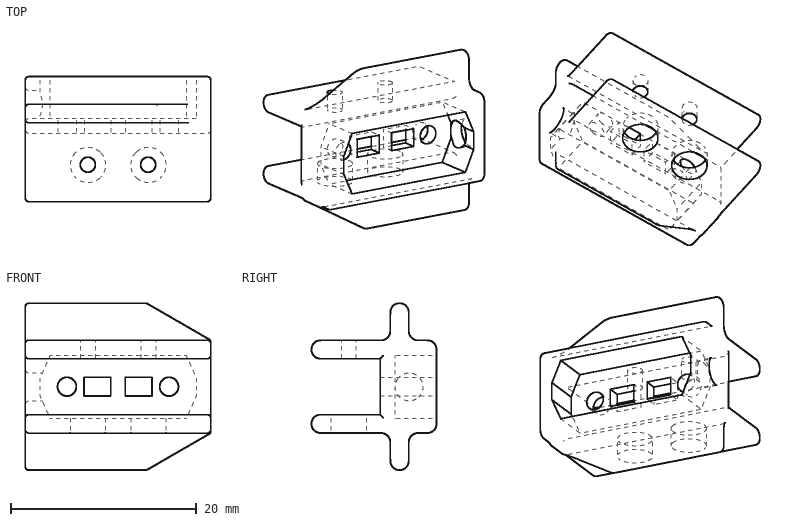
import cadquery as cq
import math

length = 20.0
total_depth = 13.5
body_depth = 6.1
body_height = 10.0
total_height = 18.0
thickness = 2.0
fin_setback = 3.0
edge_radius = 0.4
taper_angle = 30.0

pocket_wall = 1.6
pocket_end_height = 2.0
pocket_end_lean = 24.0

bore_diameter = 3.0
bore_setback = 3.0

pin_diameter = 2.0
pin_offset = 5.5
window_length = 2.85
window_height = 2.0
window_offset = 2.22

screw_offset = 3.25
screw_setback = 4.0
screw_diameter = 1.6
screw_access_diameter = 3.8

half_length = length / 2
half_body = body_height / 2
half_height = total_height / 2
half_slot = half_body - thickness
back = total_depth / 2
front = -back
slot_wall = back - body_depth
fin_back = back - fin_setback
fin_front = fin_back - thickness
fin_middle = (fin_back + fin_front) / 2
round_radius = thickness / 2
taper_slope = math.tan(math.radians(taper_angle))


def make_body():
    """Block with two arms and two fins, as one profile along X."""
    r = round_radius
    bulge = r * math.sqrt(0.5)
    root = half_body + r
    upper_half = (
        cq.Workplane("YZ", origin=(-half_length, 0, 0))
        .moveTo(back, 0)
        .lineTo(back, half_body - r)
        .threePointArc((back - r + bulge, half_body - r + bulge), (back - r, half_body))
        .lineTo(fin_back + r, half_body)
        .threePointArc((fin_back + r - bulge, root - bulge), (fin_back, root))
        .lineTo(fin_back, half_height - r)
        .threePointArc((fin_middle, half_height), (fin_front, half_height - r))
        .lineTo(fin_front, root)
        .threePointArc((fin_front - r + bulge, root - bulge), (fin_front - r, half_body))
        .lineTo(front + r, half_body)
        .threePointArc((front, half_body - r), (front + r, half_slot))
        .lineTo(slot_wall, half_slot)
        .lineTo(slot_wall, 0)
        .close()
        .extrude(length)
    )
    return upper_half.union(upper_half.mirror("XY")).clean()


def taper_fins(part):
    """Slope both fins down to the block at the +X end and round the sloped edges."""
    margin = 1.0
    reach = (half_height - half_body) / taper_slope + margin
    low = half_body - margin * taper_slope
    high = half_body + reach * taper_slope
    for side in (1, -1):
        wedge = (
            cq.Workplane("XZ", origin=(0, back, 0))
            .moveTo(half_length + margin, side * low)
            .lineTo(half_length - reach, side * high)
            .lineTo(half_length + margin, side * high)
            .close()
            .extrude(total_depth)
        )
        part = part.cut(wedge)

    normal_x = math.sin(math.radians(taper_angle))
    tolerance = 0.01
    slopes = [
        face
        for face in part.faces("%PLANE").vals()
        if abs(face.normalAt().x - normal_x) < tolerance
    ]
    return part.newObject(slopes).edges().fillet(edge_radius)


def cut_pocket(part):
    """Pocket open at the back, narrowing above and below the middle of its ends."""
    end_x = half_length - pocket_wall
    end_z = pocket_end_height / 2
    top_z = half_body - pocket_wall
    top_x = end_x - (top_z - end_z) * math.tan(math.radians(pocket_end_lean))
    pocket = (
        cq.Workplane("XZ", origin=(0, back, 0))
        .moveTo(end_x, -end_z)
        .lineTo(end_x, end_z)
        .lineTo(top_x, top_z)
        .lineTo(-top_x, top_z)
        .lineTo(-end_x, end_z)
        .lineTo(-end_x, -end_z)
        .lineTo(-top_x, -top_z)
        .lineTo(top_x, -top_z)
        .close()
        .extrude(body_depth - pocket_wall)
    )
    return part.cut(pocket)


def cut_wall_openings(part):
    """Two pin holes and two windows through the wall in front of the pocket."""
    pins = (
        cq.Workplane("XZ", origin=(0, back, 0))
        .pushPoints([(-pin_offset, 0), (pin_offset, 0)])
        .circle(pin_diameter / 2)
        .extrude(body_depth)
    )
    windows = (
        cq.Workplane("XZ", origin=(0, back, 0))
        .pushPoints([(-window_offset, 0), (window_offset, 0)])
        .rect(window_length, window_height)
        .extrude(body_depth)
    )
    return part.cut(pins).cut(windows)


def cut_bore(part):
    """Bore along X from the -X end, deep enough to reach the pocket."""
    bore_y = back - bore_setback
    bore = (
        cq.Workplane("YZ", origin=(-half_length, bore_y, 0))
        .circle(bore_diameter / 2)
        .extrude(2 * pocket_wall)
    )
    return part.cut(bore)


def round_ends(part):
    """Round every edge of both end faces, with the mouth of the bore."""
    return part.faces("<X or >X").edges().fillet(edge_radius)


def cut_screw_holes(part):
    """Screw holes in the upper arm and wider access holes in the lower arm."""
    screw_y = front + screw_setback
    for x in (-screw_offset, screw_offset):
        for bottom, diameter in ((half_slot, screw_diameter), (-half_body, screw_access_diameter)):
            hole = (
                cq.Workplane("XY", origin=(x, screw_y, bottom))
                .circle(diameter / 2)
                .extrude(thickness)
            )
            part = part.cut(hole)
    return part


result = make_body()
result = cut_bore(result)
result = round_ends(result)
result = taper_fins(result)
result = cut_pocket(result)
result = cut_wall_openings(result)
result = cut_screw_holes(result)